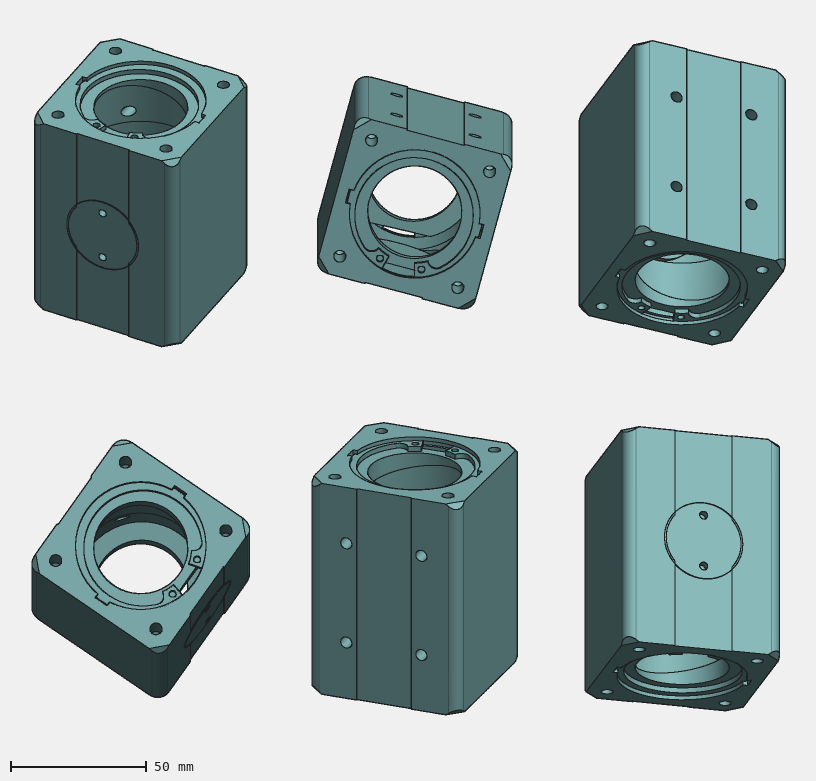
import cadquery as cq
import math

WIDTH = 60.0
HEIGHT = 85.0
HALF_WIDTH = WIDTH / 2
HALF_HEIGHT = HEIGHT / 2
EDGE_RADIUS = 4.2
CORNER_CUT = 5.35

RELIEF_WIDTH = 21.8
RELIEF_DEPTH = 0.4

BORE_RADIUS = 24.05
GROOVE_RADIUS = 25.2
CLIP_DEPTH = 1.5
CLIP_THICKNESS = 1.95
NOTCH_REACH = 25.7
NOTCH_WIDTH = 5.3

CLIP_INNER_RADIUS = 21.85
CLIP_INNER_OFFSET = -1.0
CLIP_GAP_ANGLE = 15.0
LUG_ANGLE = 30.0
LUG_INNER_RADIUS = 18.8
LUG_FILLET = 3.2
LUG_HOLE_RADIUS = 1.3
LUG_HOLE_X = 7.9
LUG_HOLE_Y = -19.8

WEDGE_DEPTH = CLIP_DEPTH + CLIP_THICKNESS
WEDGE_INNER_RADIUS = 17.3
WEDGE_MID_THICKNESS = 4.4
WEDGE_ANGLE = 10.0
WEDGE_FLAT_Y = -21.0

PLUG_RADIUS = 15.0
PLUG_FACE_RADIUS = 14.3
PLUG_REBATE = 0.1
PLUG_INNER_Y = -22.4
PIN_HOLE_RADIUS = 1.5
PIN_HOLE_OFFSET = 10.0
PIN_HOLE_DEPTH = 3.4

SLEEVE_MARGIN = 0.1
SLEEVE_HEIGHT = 2 * (PLUG_RADIUS + SLEEVE_MARGIN)
SLEEVE_OUTER_RADIUS = 25.9

SCREW_RADIUS = 2.2
SCREW_OFFSET = 22.5
SCREW_DEPTH = 15.3
DRILL_POINT_ANGLE = 118.0
BACK_HOLE_X = 15.0
BACK_HOLE_Z = 20.0


def cylinder(radius, z_low, z_high):
    return cq.Workplane("XY").workplane(offset=z_low).circle(radius).extrude(z_high - z_low)


def mirrored_down(body):
    return body.mirror("XY")


def polar(radius, degrees):
    angle = math.radians(degrees)
    return (radius * math.cos(angle), radius * math.sin(angle))


def corner_cutter():
    """Prism that bevels the top corner at +X, +Y at 45 degrees."""
    diagonal = HALF_WIDTH * math.sqrt(2)
    leg = CORNER_CUT / math.sqrt(2)
    return (
        cq.Workplane("XZ")
        .polyline([
            (diagonal - leg, HALF_HEIGHT),
            (diagonal, HALF_HEIGHT),
            (diagonal, HALF_HEIGHT - leg),
        ])
        .close()
        .extrude(CORNER_CUT, both=True)
        .rotate((0, 0, 0), (0, 0, 1), 45)
    )


def screw_hole():
    """Blind drilled hole with a conical point, opening on the top face."""
    point_height = SCREW_RADIUS / math.tan(math.radians(DRILL_POINT_ANGLE / 2))
    floor = HALF_HEIGHT - SCREW_DEPTH
    return (
        cq.Workplane("XZ")
        .polyline([
            (0, HALF_HEIGHT),
            (SCREW_RADIUS, HALF_HEIGHT),
            (SCREW_RADIUS, floor),
            (0, floor - point_height),
        ])
        .close()
        .revolve(360, (0, 0), (0, 1))
    )


def end_cutters():
    """Everything cut from the top end of the housing; the bottom end mirrors it."""
    groove_top = HALF_HEIGHT - CLIP_DEPTH
    groove_floor = groove_top - CLIP_THICKNESS
    cutters = [
        cylinder(GROOVE_RADIUS, groove_floor, groove_top),
        cq.Workplane("XY")
        .workplane(offset=groove_floor)
        .rect(2 * NOTCH_REACH, NOTCH_WIDTH)
        .extrude(WEDGE_DEPTH),
    ]
    for quarter in range(4):
        cutters.append(corner_cutter().rotate((0, 0, 0), (0, 0, 1), 90 * quarter))
    for x in (-SCREW_OFFSET, SCREW_OFFSET):
        for y in (-SCREW_OFFSET, SCREW_OFFSET):
            cutters.append(screw_hole().translate((x, y, 0)))
    return cutters


def make_housing():
    body = cq.Workplane("XY").box(WIDTH, WIDTH, HEIGHT).edges("|Z").fillet(EDGE_RADIUS)
    body = body.cut(cylinder(BORE_RADIUS, -HALF_HEIGHT, HALF_HEIGHT))
    body = body.cut(cylinder(SLEEVE_OUTER_RADIUS, -SLEEVE_HEIGHT / 2, SLEEVE_HEIGHT / 2))
    for side in (-1, 1):
        relief = cq.Workplane("XY").box(RELIEF_WIDTH, 2 * RELIEF_DEPTH, HEIGHT)
        body = body.cut(relief.translate((0, side * HALF_WIDTH, 0)))
    for cutter in end_cutters():
        body = body.cut(cutter).cut(mirrored_down(cutter))
    plug_bore = cq.Workplane("XZ").circle(PLUG_RADIUS).extrude(HALF_WIDTH)
    back_holes = (
        cq.Workplane("XZ")
        .rect(2 * BACK_HOLE_X, 2 * BACK_HOLE_Z, forConstruction=True)
        .vertices()
        .circle(SCREW_RADIUS)
        .extrude(-HALF_WIDTH)
    )
    return body.cut(plug_bore).cut(back_holes)


def make_retaining_ring():
    """Eccentric ring with a gap at -Y and a drilled lug on each side of it."""
    bottom = HALF_HEIGHT - WEDGE_DEPTH
    top = HALF_HEIGHT - CLIP_DEPTH
    opening = cylinder(CLIP_INNER_RADIUS, bottom, top).translate((0, CLIP_INNER_OFFSET, 0))

    def fan(half_angle):
        """Fan-shaped block reaching past the ring, centred on -Y."""
        reach = 2 * GROOVE_RADIUS
        return (
            cq.Workplane("XY")
            .workplane(offset=bottom)
            .polyline([(0, 0), polar(reach, -90 - half_angle), polar(reach, -90 + half_angle)])
            .close()
            .extrude(CLIP_THICKNESS)
        )

    lugs = fan(LUG_ANGLE).cut(cylinder(LUG_INNER_RADIUS, bottom, top))
    ring = cylinder(GROOVE_RADIUS, bottom, top).cut(opening.cut(lugs))

    root_x, root_y = polar(CLIP_INNER_RADIUS, -90 + LUG_ANGLE)
    for side in (-1, 1):
        root = cq.selectors.NearestToPointSelector(
            (side * root_x, root_y + CLIP_INNER_OFFSET, (bottom + top) / 2)
        )
        ring = ring.edges("|Z").edges(root).fillet(LUG_FILLET)
    ring = ring.cut(fan(CLIP_GAP_ANGLE))
    for side in (-1, 1):
        hole = cylinder(LUG_HOLE_RADIUS, bottom, top)
        ring = ring.cut(hole.translate((side * LUG_HOLE_X, LUG_HOLE_Y, 0)))
    return ring


def make_wedge_ring():
    """Ring with a slanted inner face, thickest at +X, and a flat at -Y."""
    top = HALF_HEIGHT - WEDGE_DEPTH
    rise = BORE_RADIUS * math.tan(math.radians(WEDGE_ANGLE))
    profile = (
        cq.Workplane("XZ")
        .polyline([
            (-BORE_RADIUS, top),
            (BORE_RADIUS, top),
            (BORE_RADIUS, top - WEDGE_MID_THICKNESS - rise),
            (-BORE_RADIUS, top - WEDGE_MID_THICKNESS + rise),
        ])
        .close()
    )
    wedge = profile.extrude(BORE_RADIUS, both=True)
    envelope = cylinder(BORE_RADIUS, 0, HALF_HEIGHT).cut(cylinder(WEDGE_INNER_RADIUS, 0, HALF_HEIGHT))
    below_flat = cq.Workplane("XY").box(WIDTH, WIDTH, HEIGHT).translate((0, WEDGE_FLAT_Y - HALF_WIDTH, 0))
    return wedge.intersect(envelope).cut(below_flat)


def make_plug():
    """Round plug, flush with the front, with a rebate on its rim beside the relief."""
    plug = (
        cq.Workplane("XZ", origin=(0, PLUG_INNER_Y, 0))
        .circle(PLUG_RADIUS)
        .extrude(HALF_WIDTH + PLUG_INNER_Y)
    )
    front = cq.Workplane("XZ", origin=(0, -HALF_WIDTH, 0))
    raised = front.circle(PLUG_FACE_RADIUS).extrude(-PLUG_REBATE)
    raised = raised.union(front.rect(RELIEF_WIDTH, 2 * PLUG_RADIUS).extrude(-PLUG_REBATE))
    rebate = front.circle(PLUG_RADIUS).extrude(-PLUG_REBATE).cut(raised)
    pin_holes = (
        front.pushPoints([(0, -PIN_HOLE_OFFSET), (0, PIN_HOLE_OFFSET)])
        .circle(PIN_HOLE_RADIUS)
        .extrude(-PIN_HOLE_DEPTH)
    )
    return plug.cut(rebate).cut(pin_holes)


def make_sleeve():
    """Lining flush with the main bore, open where the plug enters."""
    half = SLEEVE_HEIGHT / 2
    sleeve = cylinder(SLEEVE_OUTER_RADIUS, -half, half).cut(cylinder(BORE_RADIUS, -half, half))
    return sleeve.cut(cq.Workplane("XZ").circle(PLUG_RADIUS).extrude(HALF_WIDTH))


housing = make_housing()
plug = make_plug()
sleeve = make_sleeve()

end_bodies = []
for end_body in (make_retaining_ring(), make_wedge_ring()):
    end_bodies.append(end_body.val())
    end_bodies.append(mirrored_down(end_body).val())

result = cq.Compound.makeCompound([housing.val(), plug.val(), sleeve.val(), *end_bodies])